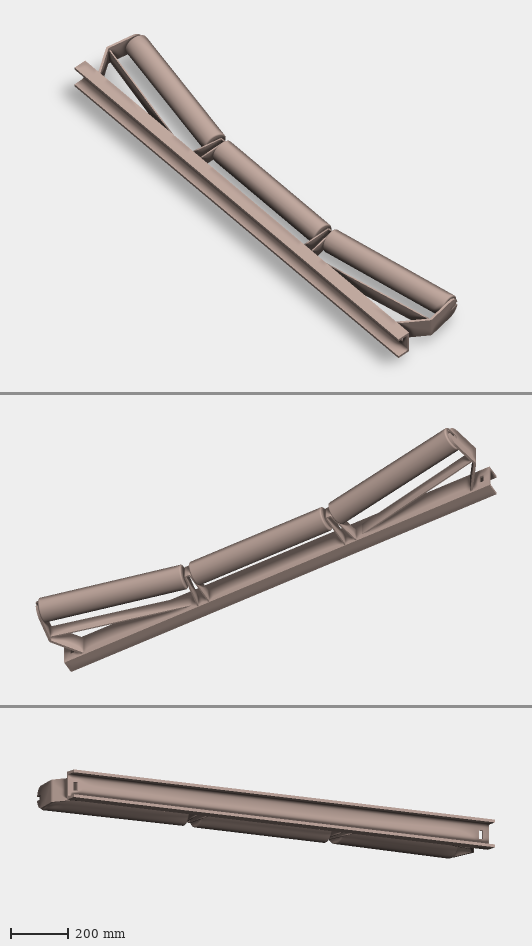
import cadquery as cq
import math


OVERALL_LENGTH = 1710.0

CHANNEL_LENGTH = 1705.0
CHANNEL_HEIGHT = 100.0
CHANNEL_DEPTH = 50.0
WEB_THICKNESS = 7.0
FLANGE_THICKNESS = 10.0
ROOT_RADIUS = 9.0
MOUNT_SLOT_WIDTH = 15.0
MOUNT_SLOT_HEIGHT = 30.0
MOUNT_SLOT_X = 820.0

ROLLER_RADIUS = 45.0
ROLLER_LENGTH = 530.0
ROLLER_EDGE_RADIUS = 5.0
SHAFT_RADIUS = 7.7
SHAFT_OVERHANG = 10.0
CENTRE_ROLLER_Y = 118.0
CENTRE_ROLLER_Z = -20.0
TROUGH_ANGLE = 10.0
LEAN_ANGLE = 2.0
WING_INNER_X = 303.0
WING_INNER_Y = 121.0
WING_INNER_Z = -19.0

END_BRACKET_WIDTH = 80.0
INNER_BRACKET_WIDTH = 51.0
END_PLATE_THICKNESS = 9.0
INNER_PLATE_THICKNESS = 5.0
STRUT_THICKNESS = 5.0
STRUT_WIDTH = 55.0
ELBOW_Y = 103.0
END_TIP_Y = 248.0
FOOT_RAKE = 34.7
ELBOW_RADIUS = 15.0
INNER_LEG_X = 270.0
INNER_TOP_Y = 142.0
INNER_TOP_WIDTH = 24.0
INNER_BEND_RADIUS = 7.0
STRUT_TOP_X = 848.0
STRUT_TOP_Y = 113.0
STRUT_FOOT_X = 342.0

HALF_BEND = math.radians(TROUGH_ANGLE + FOOT_RAKE) / 2
ELBOW_TILT = math.radians(FOOT_RAKE - TROUGH_ANGLE) / 2
ELBOW_ROUNDED_OFF = ELBOW_RADIUS * (math.cos(ELBOW_TILT) / math.cos(HALF_BEND) - 1)
ELBOW_X = OVERALL_LENGTH / 2 + ELBOW_ROUNDED_OFF
TROUGH_TANGENT = math.tan(math.radians(TROUGH_ANGLE))
SIDES = (-1, 1)


def strip_outline(points, thickness):
    """Closed outline of a bent strip whose left-hand face runs through the points."""
    directions = []
    for start, end in zip(points, points[1:]):
        length = math.dist(start, end)
        directions.append(((end[0] - start[0]) / length, (end[1] - start[1]) / length))
    before = [directions[0]] + directions
    after = directions + [directions[-1]]
    inside = []
    for (x, y), (ax, ay), (bx, by) in zip(points, before, after):
        scale = thickness / (1 + ax * bx + ay * by)
        inside.append((x + (ay + by) * scale, y - (ax + bx) * scale))
    return points + inside[::-1]


def bent_plate(points, thickness, width):
    """Strip bent in the XY plane, centred on Z = 0, trimmed at the channel's back face."""
    outline = strip_outline(points, thickness)
    plate = cq.Workplane("XY").polyline(outline).close().extrude(width / 2, both=True)
    below = cq.Workplane("XY").box(3 * CHANNEL_LENGTH, CHANNEL_LENGTH, CHANNEL_LENGTH)
    return plate.cut(below.translate((0, -CHANNEL_LENGTH / 2, 0)))


def round_bend(plate, corner, thickness, outer_radius):
    """Round the outer and inner edges of the bend whose outer corner is given."""
    reach = 3 * thickness
    near = cq.selectors.BoxSelector(
        (corner[0] - reach, corner[1] - reach, -CHANNEL_HEIGHT),
        (corner[0] + reach, corner[1] + reach, CHANNEL_HEIGHT),
    )

    def distance_from_corner(edge):
        return math.dist(edge.Center().toTuple()[:2], corner)

    bend_edges = plate.edges("|Z").edges(near)
    ordered = sorted(bend_edges.vals(), key=distance_from_corner)
    plate = plate.newObject(ordered[:1]).fillet(outer_radius)
    inner_point = ordered[1].Center()
    inner_edge = plate.edges("|Z").edges(cq.selectors.NearestToPointSelector(inner_point.toTuple()))
    return inner_edge.fillet(outer_radius - thickness)


def make_channel():
    half_height = CHANNEL_HEIGHT / 2
    channel = cq.Workplane("XY").box(CHANNEL_LENGTH, CHANNEL_DEPTH, CHANNEL_HEIGHT)
    channel = channel.translate((0, -CHANNEL_DEPTH / 2, 0))
    trough_depth = CHANNEL_DEPTH - WEB_THICKNESS
    trough = (
        cq.Workplane("XY")
        .box(CHANNEL_LENGTH, trough_depth, 2 * (half_height - FLANGE_THICKNESS))
        .edges("|X and >Y")
        .fillet(ROOT_RADIUS)
        .translate((0, -WEB_THICKNESS - trough_depth / 2, 0))
    )
    mount_slots = (
        cq.Workplane("XZ")
        .pushPoints([(side * MOUNT_SLOT_X, 0) for side in SIDES])
        .rect(MOUNT_SLOT_WIDTH, MOUNT_SLOT_HEIGHT)
        .extrude(WEB_THICKNESS)
    )
    return channel.cut(trough).cut(mount_slots)


def wing_plane(side):
    """Plane at the inner end of a wing roller: normal outward along its axis, local X away from
    the slot mouth."""
    trough = math.radians(TROUGH_ANGLE)
    lean = math.radians(LEAN_ANGLE)
    axis = (
        side * math.cos(trough) * math.cos(lean),
        math.sin(trough) * math.cos(lean),
        math.sin(lean),
    )
    toward_channel = (side * math.sin(trough), -math.cos(trough), 0)
    return cq.Plane((side * WING_INNER_X, WING_INNER_Y, WING_INNER_Z), toward_channel, axis)


CENTRE_PLANE = cq.Plane((-ROLLER_LENGTH / 2, CENTRE_ROLLER_Y, CENTRE_ROLLER_Z), (0, 0, 1), (1, 0, 0))
WING_PLANE = wing_plane(-1)


def make_shaft(plane):
    """Shaft along a roller's axis, standing out at both ends."""
    start = cq.Workplane(plane).workplane(offset=-SHAFT_OVERHANG)
    return start.circle(SHAFT_RADIUS).extrude(ROLLER_LENGTH + 2 * SHAFT_OVERHANG)


def make_roller(plane):
    """Roller shell with rounded rims and its shaft, as one body."""
    shell = cq.Workplane(plane).circle(ROLLER_RADIUS).extrude(ROLLER_LENGTH)
    return shell.edges("%CIRCLE").fillet(ROLLER_EDGE_RADIUS).union(make_shaft(plane))


def make_bore(plane):
    """Endless cutter for the holes that hold a roller's shaft."""
    return cq.Workplane(plane).circle(SHAFT_RADIUS).extrude(2 * ROLLER_LENGTH, both=True)


def make_end_bracket():
    """Left end bracket: leaning arm with a round tip and an open shaft slot, and a raked foot."""
    corner = (-ELBOW_X, ELBOW_Y)
    tip_x = -ELBOW_X + (END_TIP_Y - ELBOW_Y) * TROUGH_TANGENT
    below_foot = (2 * ELBOW_Y * math.tan(math.radians(FOOT_RAKE)) - ELBOW_X, -ELBOW_Y)
    points = [below_foot, corner, (tip_x, END_TIP_Y)]
    plate = bent_plate(points, END_PLATE_THICKNESS, END_BRACKET_WIDTH)
    plate = round_bend(plate, corner, END_PLATE_THICKNESS, ELBOW_RADIUS)
    tip_radius = END_BRACKET_WIDTH / 2
    round_start_y = END_TIP_Y - tip_radius
    tip_window = (
        cq.Workplane("ZY")
        .moveTo(-tip_radius, 0)
        .lineTo(tip_radius, 0)
        .lineTo(tip_radius, round_start_y)
        .threePointArc((0, END_TIP_Y), (-tip_radius, round_start_y))
        .close()
        .extrude(2 * ELBOW_X)
    )
    plate = plate.intersect(tip_window)
    slot_mouth = (
        cq.Workplane(WING_PLANE)
        .center(-END_TIP_Y / 2, 0)
        .rect(END_TIP_Y, 2 * SHAFT_RADIUS)
        .extrude(2 * ROLLER_LENGTH)
    )
    return plate.cut(slot_mouth).cut(make_bore(WING_PLANE))


def make_inner_bracket():
    """Left inner bracket: inverted U between the centre roller and a wing roller."""
    top_outer = (-INNER_LEG_X - INNER_TOP_WIDTH, INNER_TOP_Y)
    top_inner = (-INNER_LEG_X, INNER_TOP_Y)
    foot_outer = (top_outer[0] - 2 * INNER_TOP_Y * TROUGH_TANGENT, -INNER_TOP_Y)
    foot_inner = (-INNER_LEG_X, -INNER_TOP_Y)
    points = [foot_outer, top_outer, top_inner, foot_inner]
    plate = bent_plate(points, INNER_PLATE_THICKNESS, INNER_BRACKET_WIDTH)
    for corner in (top_outer, top_inner):
        plate = round_bend(plate, corner, INNER_PLATE_THICKNESS, INNER_BEND_RADIUS)
    plate = plate.translate((0, 0, CENTRE_ROLLER_Z))
    return plate.cut(make_bore(CENTRE_PLANE)).cut(make_bore(WING_PLANE))


def make_strut(end_bracket):
    """Left strut: flat bar from the channel up to the inside of the end bracket's arm."""
    run = STRUT_TOP_X - STRUT_FOOT_X
    points = [(-STRUT_TOP_X, STRUT_TOP_Y), (run - STRUT_FOOT_X, -STRUT_TOP_Y)]
    return bent_plate(points, STRUT_THICKNESS, STRUT_WIDTH).cut(end_bracket)


channel = make_channel()
centre_roller = make_roller(CENTRE_PLANE)
wing_rollers = [make_roller(wing_plane(side)) for side in SIDES]
end_bracket = make_end_bracket()
inner_bracket = make_inner_bracket()
strut = make_strut(end_bracket)

bodies = [channel.val(), centre_roller.val()]
for wing_roller in wing_rollers:
    bodies.append(wing_roller.val())
for left_body in (end_bracket, inner_bracket, strut):
    bodies.append(left_body.val())
    bodies.append(left_body.mirror("YZ").val())

result = cq.Compound.makeCompound(bodies)